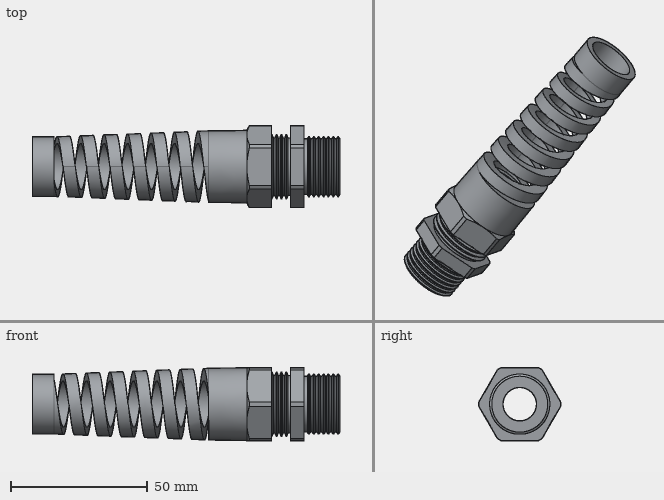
import cadquery as cq
import math

COLLAR_END = 7.9
SPRING_END = 64.8
DOME_END = 78.8
CAP_END = 87.9
NUT_START = 94.8
NUT_END = 99.8
LENGTH = 113.0

COLLAR_DIAMETER = 22.0
SLEEVE_BORE_RADIUS = 8.5
SPRING_RADIUS = 13.2
CABLE_BORE_RADIUS = 6.1

ACROSS_FLATS = 26.9
ACROSS_CORNERS = 30.2
CAP_CHAMFER = 0.9

SIX_COILS = 51.8
SPRING_PITCH = SIX_COILS / 6
SLOT_WIDTH = 4.1
SLOT_CENTRE_AT_TOP = 9.2
SLOT_MARGIN = 3.4

SIX_RIDGES = 10.7
THREAD_PITCH = SIX_RIDGES / 6
RIDGE_HALF_BASE = 0.62
RIDGE_HALF_CREST = 0.1
GLAND_ROOT_RADIUS = 10.6
GLAND_CREST_RADIUS = 11.9
GLAND_FIRST_RIDGE = CAP_END
GLAND_RIDGES = 4
ENTRY_ROOT_RADIUS = 10.3
ENTRY_CREST_RADIUS = 11.1
ENTRY_FIRST_RIDGE = 101.6
ENTRY_RIDGES = 7

COLLAR_RADIUS = COLLAR_DIAMETER / 2
DOME_RADIUS = ACROSS_FLATS / 2
CORNER_RADIUS = ACROSS_CORNERS / 2


def turned(points):
    """Revolve a closed outline of (x, radius) points about the X axis."""
    return cq.Workplane("XZ").polyline(points).close().revolve(360, (0, 0, 0), (1, 0, 0))


def rod(start, end, radius):
    """Solid cylinder along X."""
    return cq.Workplane("YZ").workplane(offset=start).circle(radius).extrude(end - start)


def sleeve():
    """Tapered tube from the collar to the dome."""
    return turned([
        (0, SLEEVE_BORE_RADIUS),
        (0, COLLAR_RADIUS),
        (COLLAR_END, COLLAR_RADIUS),
        (SPRING_END, SPRING_RADIUS),
        (DOME_END, DOME_RADIUS),
        (DOME_END, CABLE_BORE_RADIUS),
        (SPRING_END, CABLE_BORE_RADIUS),
        (SPRING_END, SLEEVE_BORE_RADIUS),
    ])


def spring_slot():
    """Right-handed helical slot, limited to the stretch between collar and dome."""
    inner = SLEEVE_BORE_RADIUS - SLOT_MARGIN
    outer = SPRING_RADIUS + SLOT_MARGIN
    mean = (inner + outer) / 2
    first = SLOT_CENTRE_AT_TOP - SPRING_PITCH
    turns = math.ceil((SPRING_END - first) / SPRING_PITCH) + 1
    path = cq.Wire.makeHelix(SPRING_PITCH, turns * SPRING_PITCH, mean)
    cutter = (
        cq.Workplane("XZ")
        .center(mean, 0)
        .rect(outer - inner, SLOT_WIDTH)
        .sweep(cq.Workplane(path), isFrenet=True)
    )
    start = first - SPRING_PITCH / 2
    cutter = cutter.rotate((0, 0, 0), (0, 1, 0), 90).translate((start, 0, 0))
    return cutter.intersect(rod(COLLAR_END, SPRING_END, outer + SLOT_MARGIN))


def hexagon(start, end):
    """Hexagonal prism with flats facing +Z and -Z and rounded corners."""
    corner_to_corner = ACROSS_FLATS / math.cos(math.pi / 6)
    prism = cq.Workplane("YZ").workplane(offset=start).polygon(6, corner_to_corner).extrude(end - start)
    return prism.intersect(rod(start, end, CORNER_RADIUS))


def cap_nut():
    """Hexagon whose corners are chamfered on the dome side."""
    envelope = turned([
        (DOME_END, 0),
        (DOME_END, DOME_RADIUS),
        (DOME_END + CAP_CHAMFER, CORNER_RADIUS),
        (CAP_END, CORNER_RADIUS),
        (CAP_END, 0),
    ])
    return hexagon(DOME_END, CAP_END).intersect(envelope)


def threaded_rod(start, end, root, crest, first_ridge, ridges):
    """Rod with evenly spaced ring ridges."""
    outline = [(start, 0), (start, root)]
    for i in range(ridges):
        x = first_ridge + i * THREAD_PITCH
        outline += [
            (x - RIDGE_HALF_BASE, root),
            (x - RIDGE_HALF_CREST, crest),
            (x + RIDGE_HALF_CREST, crest),
            (x + RIDGE_HALF_BASE, root),
        ]
    outline += [(end, root), (end, 0)]
    return turned(outline)


gland_thread = threaded_rod(
    CAP_END - THREAD_PITCH, NUT_START, GLAND_ROOT_RADIUS, GLAND_CREST_RADIUS, GLAND_FIRST_RIDGE, GLAND_RIDGES
)
entry_thread = threaded_rod(
    NUT_END, LENGTH, ENTRY_ROOT_RADIUS, ENTRY_CREST_RADIUS, ENTRY_FIRST_RIDGE, ENTRY_RIDGES
)
fitting = cap_nut().union(gland_thread).union(hexagon(NUT_START, NUT_END)).union(entry_thread)
fitting = fitting.cut(rod(DOME_END, LENGTH, CABLE_BORE_RADIUS))

spring_sleeve = sleeve().cut(spring_slot())
result = spring_sleeve.union(fitting)